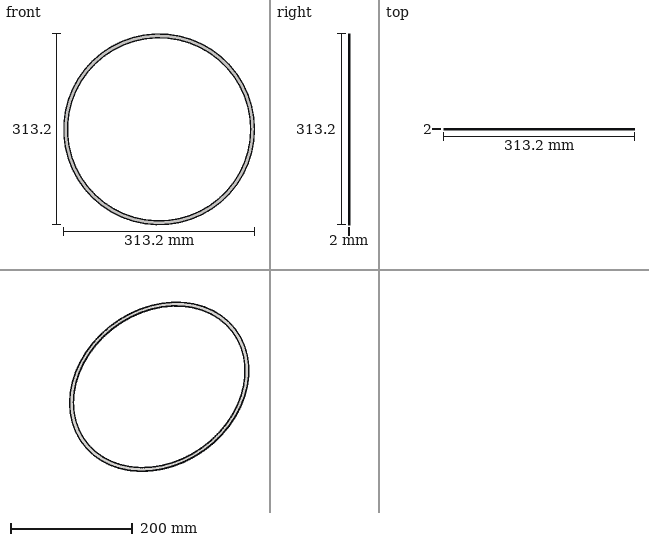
import cadquery as cq

outer_diameter = 313.2
radial_width = 6.6
thickness = 2.0

inner_diameter = outer_diameter - 2 * radial_width

result = (
    cq.Workplane("XZ", origin=(0, thickness / 2, 0))
    .circle(outer_diameter / 2)
    .circle(inner_diameter / 2)
    .extrude(thickness)
)